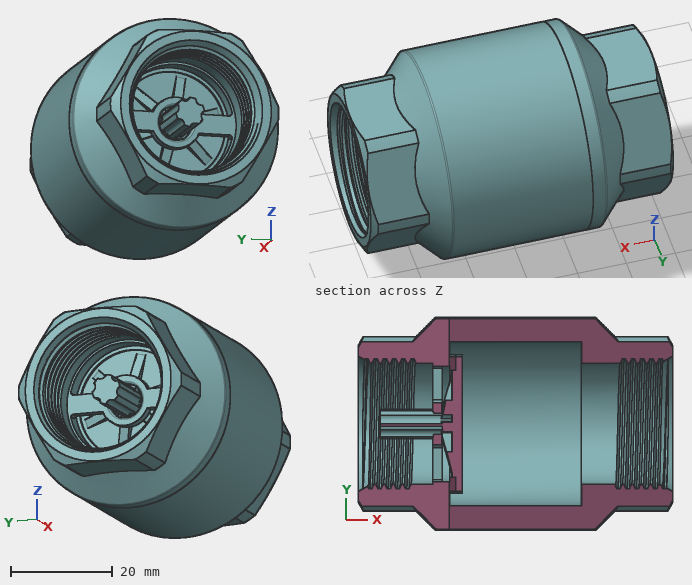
import cadquery as cq
import math

LENGTH = 62.0
END_X = LENGTH / 2
BARREL_RADIUS = 42.0 / 2
SHOULDER_X = 15.75
SHOULDER_INNER_RADIUS = 14.9
SHOULDER_FILLET = 0.465
JOINT_X = -12.95

HEX_SIDES = 6
HEX_ACROSS_FLATS = 31.0
HEX_CORNER_RADIUS = 17.2
HEX_FACE_RADIUS = 15.4
HEX_CHAMFER_ANGLE = 30.0

PORT_RADIUS = 12.2
PORT_MOUTH_RADIUS = 13.6
MOUTH_DEPTH = 2.6
THREAD_ROOT_RADIUS = 13.1
THREAD_TURNS = 6.5
THREAD_LENGTH = 11.8
THREAD_PITCH = THREAD_LENGTH / THREAD_TURNS
THREAD_LEAD_IN = 0.7
THREAD_OVERLAP = 0.2
THREAD_ROOT_WIDTH = 0.45
THREAD_FLANK_ANGLE = 27.5

SPIDER_FACE_X = -16.3
SPIDER_THICKNESS = 1.85
WINDOW_RADIUS = 23.4 / 2
BAR_WIDTH = 3.85
BAR_ROOT_CHAMFER = 0.55
HUB_RADIUS = 5.1
HUB_BORE_RADIUS = 7.0 / 2
HUB_BORE_FILLET = 0.4

CHAMBER_RADIUS = 16.35
CHAMBER_END_X = 12.95

SEAL_THICKNESS = 1.25
PLATE_RADIUS = 10.9
SEAL_OUTER_RADIUS = 13.65
PLATE_RECESS = 0.45
PLATE_FACE_X = JOINT_X + PLATE_RECESS
FLANGE_THICKNESS = 1.25
STEM_TIP_X = -26.65
STEM_RADIUS = 2.9
FLUTE_RADIUS = 1.1
FLUTE_CENTRE_RADIUS = 3.5
LOBE_COUNT = 6
LOBE_ANGLE = 101.4
RIB_WIDTH = 1.9
RIB_OUTER_RADIUS = 10.1
RIB_SLOPE_ANGLE = 15.0


def revolved(points):
    """Solid of revolution about X from (x, radius) points."""
    return cq.Workplane("XY").polyline(points).close().revolve(360, (0, 0, 0), (1, 0, 0))


def disc(radius, start_x, end_x):
    """Cylinder on the valve axis between two X positions."""
    return cq.Workplane("YZ", origin=(start_x, 0, 0)).circle(radius).extrude(end_x - start_x)


def barrel():
    """Round middle of the valve with a softened 45 degree shoulder at each end."""
    shoulder_end_x = SHOULDER_X + BARREL_RADIUS - SHOULDER_INNER_RADIUS
    body = revolved([
        (-shoulder_end_x, 0),
        (-shoulder_end_x, SHOULDER_INNER_RADIUS),
        (-SHOULDER_X, BARREL_RADIUS),
        (SHOULDER_X, BARREL_RADIUS),
        (shoulder_end_x, SHOULDER_INNER_RADIUS),
        (shoulder_end_x, 0),
    ])
    rims = cq.selectors.RadiusNthSelector(-1)
    return body.edges("%CIRCLE").edges(rims).fillet(SHOULDER_FILLET)


def hexagon_bar():
    """Full length hexagon with rounded corners and chamfered ends."""
    across_corners = HEX_ACROSS_FLATS / math.cos(math.radians(180 / HEX_SIDES))
    prism = (
        cq.Workplane("YZ", origin=(-END_X, 0, 0))
        .polygon(HEX_SIDES, across_corners)
        .extrude(LENGTH)
    )
    chamfer_length = (HEX_CORNER_RADIUS - HEX_FACE_RADIUS) * math.tan(math.radians(HEX_CHAMFER_ANGLE))
    envelope = revolved([
        (-END_X, 0),
        (-END_X, HEX_FACE_RADIUS),
        (-END_X + chamfer_length, HEX_CORNER_RADIUS),
        (END_X - chamfer_length, HEX_CORNER_RADIUS),
        (END_X, HEX_FACE_RADIUS),
        (END_X, 0),
    ])
    return prism.intersect(envelope)


def thread_cutter():
    """Right-handed helical groove of the inlet port, started outside the end face."""
    crest_radius = PORT_RADIUS - THREAD_OVERLAP
    flank = (THREAD_ROOT_RADIUS - crest_radius) * math.tan(math.radians(THREAD_FLANK_ANGLE))
    half_root = THREAD_ROOT_WIDTH / 2
    helix = cq.Wire.makeHelix(THREAD_PITCH, THREAD_LENGTH, PORT_RADIUS)
    groove = (
        cq.Workplane("XZ")
        .polyline([
            (crest_radius, -half_root - flank),
            (THREAD_ROOT_RADIUS, -half_root),
            (THREAD_ROOT_RADIUS, half_root),
            (crest_radius, half_root + flank),
        ])
        .close()
        .sweep(cq.Workplane(obj=helix), isFrenet=True)
    )
    laid_along_x = groove.rotate((0, 0, 0), (0, 1, 0), 90)
    return laid_along_x.translate((-END_X - THREAD_LEAD_IN, 0, 0))


def inlet_port(body, inner_x):
    """Cut the thread, then the bore and its conical mouth, into the -X end of a body."""
    bore = revolved([
        (inner_x, 0),
        (inner_x, PORT_RADIUS),
        (-END_X + MOUTH_DEPTH, PORT_RADIUS),
        (-END_X, PORT_MOUTH_RADIUS),
        (-END_X, 0),
    ])
    return body.cut(thread_cutter()).cut(bore)


def spider():
    """Cross bar and bored hub that guide the poppet stem."""
    back_x = SPIDER_FACE_X + SPIDER_THICKNESS
    half_width = BAR_WIDTH / 2
    root_y = math.sqrt(WINDOW_RADIUS**2 - half_width**2)
    overlap_y = (WINDOW_RADIUS + PORT_RADIUS) / 2
    flare = [
        (root_y - BAR_ROOT_CHAMFER, half_width),
        (overlap_y, half_width + BAR_ROOT_CHAMFER + overlap_y - root_y),
    ]
    right_side = flare + [(y, -z) for y, z in reversed(flare)]
    left_side = [(-y, -z) for y, z in right_side]
    bar = (
        cq.Workplane("YZ", origin=(SPIDER_FACE_X, 0, 0))
        .polyline(right_side + left_side)
        .close()
        .extrude(SPIDER_THICKNESS)
    )
    hub = disc(HUB_RADIUS, SPIDER_FACE_X, back_x)
    bore = disc(HUB_BORE_RADIUS, SPIDER_FACE_X, back_x)
    bored = bar.union(hub).cut(bore)
    mouth = bored.faces("<X").edges("%CIRCLE").edges(cq.selectors.RadiusNthSelector(0))
    return mouth.fillet(HUB_BORE_FILLET)


def valve_half(keep_start_x, keep_end_x):
    """Outside shape of the valve between two X positions, before any boring."""
    slab = disc(LENGTH, keep_start_x, keep_end_x)
    return barrel().union(hexagon_bar()).intersect(slab)


def inlet_cap():
    """Threaded end cap carrying the spider and the seat for the seal."""
    cap = valve_half(-END_X, JOINT_X)
    cap = inlet_port(cap, SPIDER_FACE_X)
    cap = cap.cut(disc(WINDOW_RADIUS, SPIDER_FACE_X, JOINT_X))
    return cap.union(spider())


def outlet_housing():
    """Housing with the same port as the cap, shaped at -X and turned to face +X."""
    housing = inlet_port(valve_half(-END_X, -JOINT_X), -CHAMBER_END_X)
    housing = housing.cut(disc(CHAMBER_RADIUS, -CHAMBER_END_X, -JOINT_X))
    return housing.rotate((0, 0, 0), (0, 0, 1), 180)


def seal_ring():
    """Flat ring clamped between the cap face and the poppet flange."""
    back_x = JOINT_X + SEAL_THICKNESS
    return disc(SEAL_OUTER_RADIUS, JOINT_X, back_x).cut(disc(PLATE_RADIUS, JOINT_X, back_x))


def fluted_stem():
    """Guide stem whose round flutes leave one lobe in line with each rib."""
    stem = disc(STEM_RADIUS, STEM_TIP_X, PLATE_FACE_X)
    half_step = 180 / LOBE_COUNT
    flutes = (
        cq.Workplane("YZ", origin=(STEM_TIP_X, 0, 0))
        .polarArray(FLUTE_CENTRE_RADIUS, LOBE_ANGLE + half_step, 360, LOBE_COUNT)
        .circle(FLUTE_RADIUS)
        .extrude(PLATE_FACE_X - STEM_TIP_X)
    )
    return stem.cut(flutes)


def rib(angle):
    """Sloping web that rises from the plate towards the stem."""
    root_radius = FLUTE_CENTRE_RADIUS - FLUTE_RADIUS
    rise = (RIB_OUTER_RADIUS - root_radius) * math.tan(math.radians(RIB_SLOPE_ANGLE))
    web = (
        cq.Workplane("XY")
        .polyline([
            (PLATE_FACE_X, 0),
            (PLATE_FACE_X - rise, 0),
            (PLATE_FACE_X - rise, root_radius),
            (PLATE_FACE_X, RIB_OUTER_RADIUS),
        ])
        .close()
        .extrude(RIB_WIDTH / 2, both=True)
    )
    return web.rotate((0, 0, 0), (1, 0, 0), angle)


def poppet():
    """Plate and flange holding the seal, with a fluted stem and ribs facing the inlet."""
    seal_back_x = JOINT_X + SEAL_THICKNESS
    body = disc(PLATE_RADIUS, PLATE_FACE_X, seal_back_x)
    body = body.union(disc(SEAL_OUTER_RADIUS, seal_back_x, seal_back_x + FLANGE_THICKNESS))
    body = body.union(fluted_stem())
    for index in range(LOBE_COUNT):
        body = body.union(rib(LOBE_ANGLE + index * 360 / LOBE_COUNT))
    return body


cap = inlet_cap()
housing = outlet_housing()
seal = seal_ring()
valve_poppet = poppet()

result = cq.Compound.makeCompound([cap.val(), housing.val(), seal.val(), valve_poppet.val()])